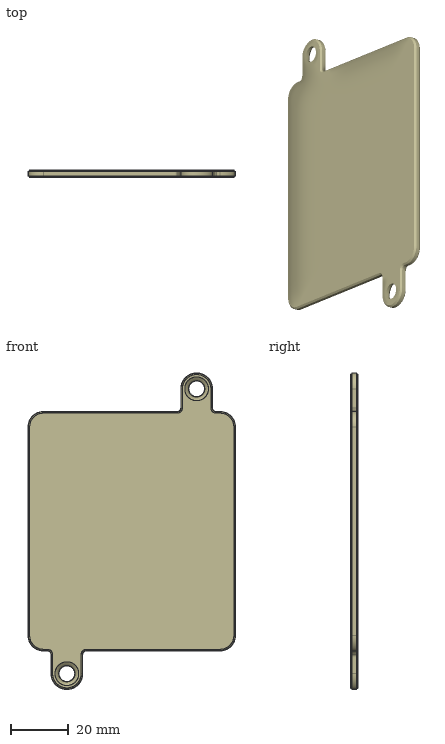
import cadquery as cq

plate_width = 72.0
plate_height = 83.2
thickness = 2.5
corner_radius = 5.3
edge_chamfer = 0.5

total_height = 110
ear_radius = 5.5
ear_offset = 22.5
ear_hole_height = total_height / 2 - ear_radius
root_fillet = 1.3
hole_diameter = 5.5
countersink_diameter = 8.2


def ear(side):
    """Round-ended tab reaching from the plate middle to one end (side = +1 or -1)."""
    shank = (
        cq.Workplane("XZ")
        .center(side * ear_offset, side * ear_hole_height / 2)
        .rect(2 * ear_radius, ear_hole_height)
        .extrude(thickness)
    )
    tip = (
        cq.Workplane("XZ")
        .center(side * ear_offset, side * ear_hole_height)
        .circle(ear_radius)
        .extrude(thickness)
    )
    return shank.union(tip)


plate = (
    cq.Workplane("XZ")
    .rect(plate_width, plate_height)
    .extrude(thickness)
    .edges("|Y")
    .fillet(corner_radius)
)
body = plate.union(ear(1)).union(ear(-1)).clean()

for side in (1, -1):
    for flank in (1, -1):
        root_x = side * ear_offset + flank * ear_radius
        root = (root_x, -thickness / 2, side * plate_height / 2)
        body = body.edges(cq.selectors.NearestToPointSelector(root)).fillet(root_fillet)

body = body.faces("<Y or >Y").edges().chamfer(edge_chamfer)

result = (
    body.faces("<Y")
    .workplane(origin=(0, -thickness, 0))
    .pushPoints([(side * ear_offset, side * ear_hole_height) for side in (1, -1)])
    .cskHole(hole_diameter, countersink_diameter, 90)
)